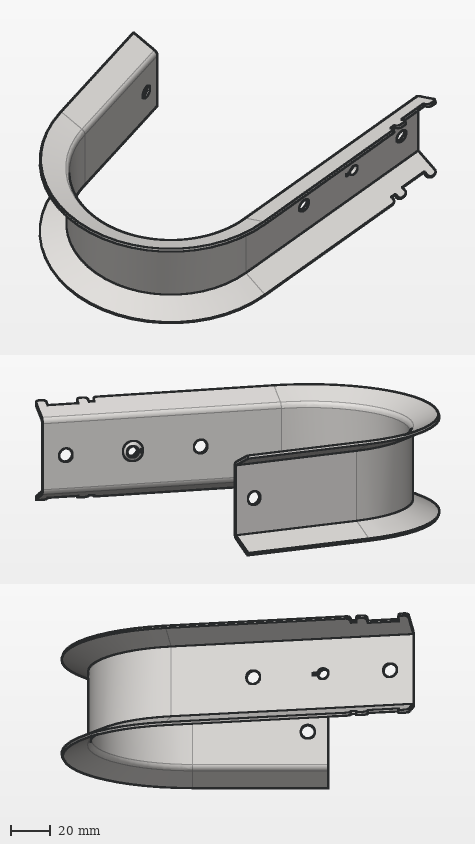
import cadquery as cq
import math

sheet = 1.5875
web_half_height = 18.0
flange_rise_angle = 25.3
total_height = 51.43
bend_radius = 2 * sheet

web_inner_radius = 50.8
long_leg_length = 123.87
short_leg_length = 68.0
short_leg_tilt = 11.9

hole_diameter = 7.0
long_leg_hole_offsets = (12.0, 82.0)
short_leg_hole_offset = 10.3

screw_offset = 46.3
screw_base_diameter = 10.4
screw_top_diameter = 6.0
screw_hole_diameter = 5.5
screw_height = 1.7
screw_tilt = 4.0
screw_slit_width = 1.3

large_notch_start = 5.4
large_notch_end = 21.3
large_notch_depth = 4.2
small_notch_start = 27.0
small_notch_end = 29.8
small_notch_depth = 3.4
tab_corner_radius = 2.0

slope = math.radians(flange_rise_angle)
flange_direction = (math.cos(slope), math.sin(slope))
flange_normal = (-math.sin(slope), math.cos(slope))
crease_x = web_inner_radius + sheet
inner_crease_z = web_half_height + sheet * math.tan((math.pi / 2 - slope) / 2)
flange_rise = total_height / 2 - sheet * flange_normal[1] - web_half_height
flange_length = flange_rise / flange_direction[1]
tip_x = crease_x + flange_length * flange_direction[0]
tip_z = web_half_height + flange_rise
bend_sweep = 180.0 - short_leg_tilt


def section_points():
    """Outline of the channel section as (distance from bend axis, height)."""
    upper = [
        (web_inner_radius, inner_crease_z),
        (tip_x + sheet * flange_normal[0], tip_z + sheet * flange_normal[1]),
        (tip_x, tip_z),
        (crease_x, web_half_height),
    ]
    lower = [(x, -z) for x, z in reversed(upper)]
    return upper + lower


def section():
    return cq.Workplane("XZ").polyline(section_points()).close()


def straight_leg(length):
    """Straight channel running from the XZ plane toward +Y, with rounded inner bends."""
    leg = section().extrude(-length)
    inner_bends = cq.selectors.BoxSelector(
        (web_inner_radius - sheet / 2, -sheet, -total_height),
        (web_inner_radius + sheet / 2, length + sheet, total_height),
    )
    return leg.edges("|Y").edges(inner_bends).fillet(bend_radius)


def curved_bend():
    """Channel swept about Z from the long leg round to the short leg."""
    bend = section().revolve(bend_sweep, (0, 0, 0), (0, -1, 0))
    inner_bends = cq.selectors.RadiusNthSelector(0)
    return bend.edges("%CIRCLE").edges(inner_bends).fillet(bend_radius)


def web_drill(diameter, y):
    """Cylinder through the web of a leg standing at +X."""
    return (
        cq.Workplane("YZ", origin=(web_inner_radius - bend_radius, y, 0))
        .circle(diameter / 2)
        .extrude(2 * bend_radius + sheet)
    )


def flange_notch(start, end, depth):
    """Cutter normal to the upper flange, between two offsets from the free end."""
    plane = cq.Plane(
        origin=(tip_x, long_leg_length, tip_z),
        xDir=(flange_direction[0], 0, flange_direction[1]),
        normal=(flange_normal[0], 0, flange_normal[1]),
    )
    return (
        cq.Workplane(plane)
        .workplane(offset=-sheet)
        .moveTo(-depth, -start)
        .lineTo(sheet, -start)
        .lineTo(sheet, -end)
        .lineTo(-depth, -end)
        .close()
        .extrude(3 * sheet)
    )


def round_tab_corners(leg):
    """Round the flange-edge corners at the free end and beside each notch."""
    tab_corners = cq.selectors.BoxSelector(
        (tip_x - sheet, long_leg_length - small_notch_end - sheet, -total_height),
        (tip_x + sheet, long_leg_length + sheet, total_height),
    )
    for side in (1, -1):
        across_flange = cq.Vector(flange_normal[0], 0, side * flange_normal[1])
        corners = leg.edges(cq.selectors.ParallelDirSelector(across_flange)).edges(tab_corners)
        leg = corners.fillet(tab_corner_radius)
    return leg


def add_screw_impression(leg):
    """Raised cone on the inner face with a hole and a slit toward the bend."""
    y = long_leg_length - screw_offset
    tilt = math.radians(screw_tilt)
    plane = cq.Plane(
        origin=(web_inner_radius, y, 0),
        xDir=(0, 0, 1),
        normal=(-math.cos(tilt), math.sin(tilt), 0),
    )
    root = sheet / 2
    cone_slope = (screw_base_diameter - screw_top_diameter) / 2 / screw_height
    cone = cq.Solid.makeCone(
        screw_base_diameter / 2 + root * cone_slope,
        screw_top_diameter / 2,
        screw_height + root,
        pnt=plane.toWorldCoords((0, 0, -root)),
        dir=plane.zDir,
    )
    slit_length = screw_base_diameter / 2
    slit_centre = (web_inner_radius, y - slit_length / 2, 0)
    slit = cq.Workplane("XY", origin=slit_centre).box(4 * bend_radius, slit_length, screw_slit_width)
    return leg.union(cq.Workplane(cone)).cut(web_drill(screw_hole_diameter, y)).cut(slit)


def long_leg():
    leg = straight_leg(long_leg_length)
    for offset in long_leg_hole_offsets:
        leg = leg.cut(web_drill(hole_diameter, long_leg_length - offset))
    notches = flange_notch(large_notch_start, large_notch_end, large_notch_depth).union(
        flange_notch(small_notch_start, small_notch_end, small_notch_depth)
    )
    leg = leg.cut(notches).cut(notches.mirror("XY"))
    return add_screw_impression(round_tab_corners(leg))


def short_leg():
    leg = straight_leg(short_leg_length)
    leg = leg.cut(web_drill(hole_diameter, short_leg_length - short_leg_hole_offset))
    return leg.mirror("YZ").rotate((0, 0, 0), (0, 0, 1), short_leg_tilt)


result = curved_bend().union(long_leg()).union(short_leg())